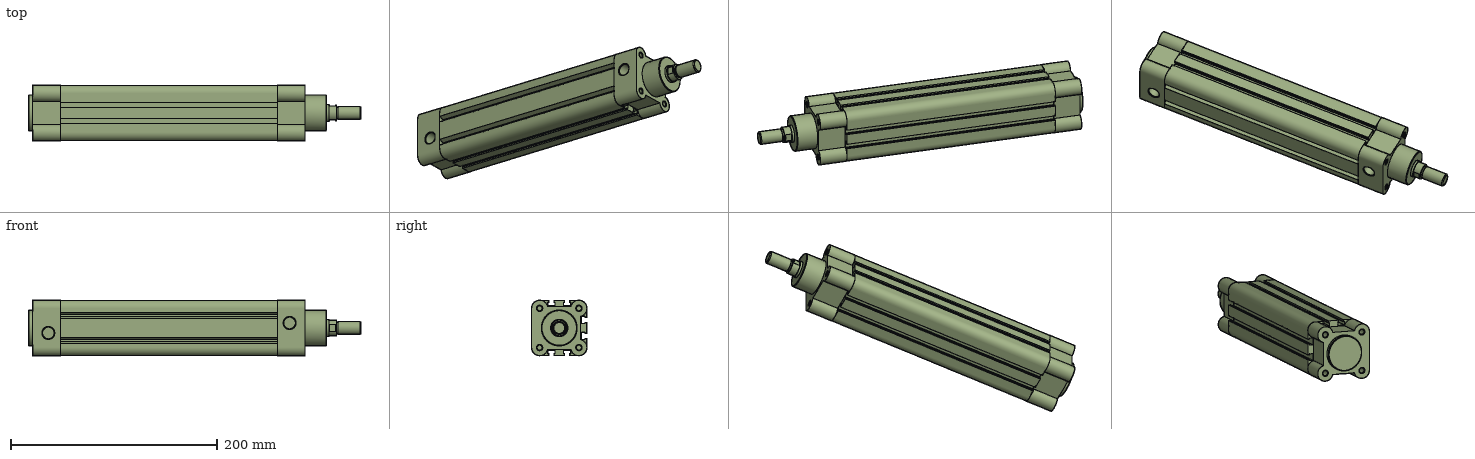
import cadquery as cq

width = 54.0
half_width = width / 2
bolt_offset = 19.0
corner_radius = half_width - bolt_offset

total_length = 323.0
pilot_length = 4.2
cap_length = 26.8
barrel_length = 211.0
collar_length = 20.7
lip_length = 2.3
thread_length = 24.0

barrel_start = pilot_length + cap_length
front_cap_start = barrel_start + barrel_length
front_face = front_cap_start + cap_length
collar_end = front_face + collar_length
lip_end = collar_end + lip_length
rod_shoulder = total_length - thread_length

recess_depth = 6.0
core_half = half_width - recess_depth
pilot_diameter = 35.0
pilot_chamfer = 0.5
lip_diameter = 16.8
bolt_hole_diameter = 5.0
bolt_hole_depth = 16.0
bolt_hole_chamfer = 0.5
port_diameter = 11.3
port_chamfer = 0.5
port_depth = 13.5
port_height = 5.0
port_from_barrel = 11.5

barrel_width = 53.5
barrel_half = barrel_width / 2

slot_center = 7.8
slot_opening = 5.0
slot_inner_width = 6.8
slot_lip = 2.0
slot_depth = 5.2

groove_center = 12.3
groove_opening = 5.8
groove_floor_width = 2.0

rod_diameter = 15.2
thread_diameter = 12.5
thread_chamfer = 1.0
neck_diameter = 11.3
neck_length = 1.5
flats_across = 13.5
flats_start_margin = 0.5
flats_end_margin = 1.0


def section_at(x):
    """Sketch plane across the cylinder; its local axes are Y and Z."""
    return cq.Workplane("YZ", origin=(x, 0, 0))


def bolt_corners():
    return [(y, z) for y in (-bolt_offset, bolt_offset) for z in (-bolt_offset, bolt_offset)]


def make_cap_block(start):
    """Cap with four round corner lobes, recessed between them on all sides but the flat -Y side."""
    core_width = bolt_offset + core_half
    core_center = (core_half - bolt_offset) / 2
    core = section_at(start).center(core_center, 0).rect(core_width, 2 * core_half).extrude(cap_length)
    lobes = section_at(start).pushPoints(bolt_corners()).circle(corner_radius).extrude(cap_length)
    flat_center = -(half_width + bolt_offset) / 2
    flat_side = (
        section_at(start)
        .center(flat_center, 0)
        .rect(corner_radius, 2 * bolt_offset)
        .extrude(cap_length)
    )
    return core.union(lobes).union(flat_side)


def make_chamfered_hole(diameter, depth, chamfer):
    """Blind hole cutter about the X axis, opening at X = 0 with a chamfered mouth and running toward +X."""
    radius = diameter / 2
    profile = [
        (0, 0),
        (0, radius + chamfer),
        (chamfer, radius),
        (depth, radius),
        (depth, 0),
    ]
    return cq.Workplane("XY").polyline(profile).close().revolve(360, (0, 0, 0), (1, 0, 0))


def cut_bolt_holes(cap, face_x, turn):
    """Four bolt holes in the outer end face; turn is 0 for holes running to +X and 180 for -X."""
    hole = make_chamfered_hole(bolt_hole_diameter, bolt_hole_depth, bolt_hole_chamfer)
    hole = hole.rotate((0, 0, 0), (0, 0, 1), turn)
    for y, z in bolt_corners():
        cap = cap.cut(hole.translate((face_x, y, z)))
    return cap


def make_port(x, z):
    """Round blind port drilled into the -Y side."""
    port = make_chamfered_hole(port_diameter, port_depth, port_chamfer)
    return port.rotate((0, 0, 0), (0, 0, 1), 90).translate((x, -half_width, z))


def make_rear_cap():
    pilot = section_at(0).circle(pilot_diameter / 2).extrude(pilot_length).faces("<X").chamfer(pilot_chamfer)
    port = make_port(barrel_start - port_from_barrel, -port_height)
    cap = make_cap_block(pilot_length).union(pilot).cut(port)
    return cut_bolt_holes(cap, pilot_length, 0)


def make_front_cap():
    collar = section_at(front_face).circle(pilot_diameter / 2).extrude(collar_length)
    collar = collar.faces(">X").chamfer(pilot_chamfer)
    lip = section_at(collar_end).circle(lip_diameter / 2).extrude(lip_length)
    rod_bore = section_at(front_cap_start).circle(rod_diameter / 2).extrude(lip_end - front_cap_start)
    port = make_port(front_cap_start + port_from_barrel, port_height)
    cap = make_cap_block(front_cap_start).union(collar).union(lip).cut(rod_bore).cut(port)
    return cut_bolt_holes(cap, front_face, 180)


def make_t_slot(center):
    """T-slot cutter for the +Z face, centered on Y = center."""
    inner_depth = slot_depth - slot_lip
    mouth = (
        section_at(barrel_start)
        .center(center, barrel_half - slot_depth / 2)
        .rect(slot_opening, slot_depth)
        .extrude(barrel_length)
    )
    inner = (
        section_at(barrel_start)
        .center(center, barrel_half - slot_lip - inner_depth / 2)
        .rect(slot_inner_width, inner_depth)
        .extrude(barrel_length)
    )
    return mouth.union(inner)


def make_tapered_groove(center):
    """Trapezoidal groove cutter for the -Y face, centered on Z = center."""
    floor_y = -barrel_half + slot_depth
    outline = [
        (-barrel_half, center - groove_opening / 2),
        (floor_y, center - groove_floor_width / 2),
        (floor_y, center + groove_floor_width / 2),
        (-barrel_half, center + groove_opening / 2),
    ]
    return section_at(barrel_start).polyline(outline).close().extrude(barrel_length)


def make_barrel():
    barrel = (
        section_at(barrel_start)
        .rect(barrel_width, barrel_width)
        .extrude(barrel_length)
        .edges("|X")
        .fillet(barrel_half - bolt_offset)
    )
    for side in (-1, 1):
        t_slot = make_t_slot(side * slot_center)
        for angle in (0, -90, 180):
            barrel = barrel.cut(t_slot.rotate((0, 0, 0), (1, 0, 0), angle))
        barrel = barrel.cut(make_tapered_groove(side * groove_center))
    return barrel


def make_piston_rod():
    shank = section_at(front_cap_start).circle(rod_diameter / 2).extrude(rod_shoulder - front_cap_start)
    flats_start = lip_end + flats_start_margin
    flats_length = rod_shoulder - flats_end_margin - flats_start
    between_flats = section_at(flats_start).rect(flats_across, rod_diameter).extrude(flats_length)
    flats_waste = section_at(flats_start).circle(rod_diameter / 2).extrude(flats_length).cut(between_flats)
    neck = section_at(rod_shoulder).circle(neck_diameter / 2).extrude(neck_length)
    thread = (
        section_at(rod_shoulder + neck_length)
        .circle(thread_diameter / 2)
        .extrude(thread_length - neck_length)
        .faces(">X")
        .chamfer(thread_chamfer)
    )
    return shank.cut(flats_waste).union(neck).union(thread)


rear_cap = make_rear_cap()
barrel = make_barrel()
front_cap = make_front_cap()
piston_rod = make_piston_rod()

bodies = [rear_cap, barrel, front_cap, piston_rod]
result = cq.Compound.makeCompound([body.solids().val() for body in bodies])